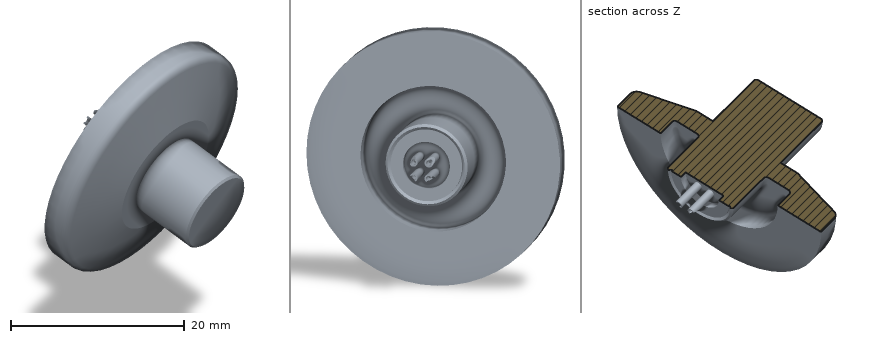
import cadquery as cq
import math


FLANGE_RADIUS = 15.0
FLANGE_RIM_WIDTH = 2.45
FLANGE_ROUND = 0.95
FLANGE_THICKNESS = 5.2
CONE_ANGLE = math.radians(15)

TUBE_RADIUS = 5.0
TUBE_END = 13.2
TUBE_CHAMFER = 0.25

NOSE_RADIUS = 4.85
NOSE_LENGTH = 3.75
NOSE_LIP_RADIUS = 4.56
NOSE_CHAMFER_LENGTH = 0.27

INSERT_RADIUS = 4.23
INSERT_SETBACK = 0.15

RECESS_RADIUS = 8.6
RECESS_DEPTH = 2.55
RECESS_FILLET = 0.4

POCKET_RADIUS = 2.78
POCKET_DEPTH = 0.85

PIN_RADIUS = 0.5
PIN_OFFSET = 0.91
PIN_PROTRUSION = 2.65
CUP_RADIUS = 0.31
CUP_DEPTH = 1.5
CUP_POINT_ANGLE = math.radians(118)
CUT_LENGTH = 1.45
CUT_TIP_OFFSET = 0.09

NOSE_FACE = -NOSE_LENGTH
BEVEL_FOOT = NOSE_FACE + NOSE_LIP_RADIUS - INSERT_RADIUS
PIN_TIP = NOSE_FACE - PIN_PROTRUSION
INSERT_FACE = NOSE_FACE + INSERT_SETBACK
POCKET_FLOOR = INSERT_FACE + POCKET_DEPTH


def x_cylinder(radius, start, end):
    """Solid cylinder along X between two stations."""
    return cq.Workplane("YZ", origin=(start, 0, 0)).circle(radius).extrude(end - start)


def make_flange():
    """Disc with a rounded rim and a conical front, revolved about X."""
    round_center_radius = FLANGE_RADIUS - FLANGE_ROUND

    def round_point(angle):
        return (
            FLANGE_RIM_WIDTH + FLANGE_ROUND * math.cos(angle),
            round_center_radius + FLANGE_ROUND * math.sin(angle),
        )

    cone_start = round_point(CONE_ANGLE)
    round_middle = round_point((CONE_ANGLE + math.pi / 2) / 2)
    cone_end_radius = cone_start[1] - (FLANGE_THICKNESS - cone_start[0]) / math.tan(CONE_ANGLE)
    return (
        cq.Workplane("XY")
        .moveTo(0, 0)
        .lineTo(0, FLANGE_RADIUS)
        .lineTo(FLANGE_RIM_WIDTH, FLANGE_RADIUS)
        .threePointArc(round_middle, cone_start)
        .lineTo(FLANGE_THICKNESS, cone_end_radius)
        .lineTo(FLANGE_THICKNESS, 0)
        .close()
        .revolve(360, (0, 0, 0), (1, 0, 0))
    )


def make_recess():
    """Ring to remove around the nose, rounded at both edges of its floor."""
    ring = x_cylinder(RECESS_RADIUS, 0, RECESS_DEPTH).cut(x_cylinder(NOSE_RADIUS, 0, RECESS_DEPTH))
    return ring.faces(">X").edges().fillet(RECESS_FILLET)


def make_tube():
    """Tube body, modelled solid, with a chamfered end."""
    tube = x_cylinder(TUBE_RADIUS, FLANGE_THICKNESS, TUBE_END)
    return tube.faces(">X").edges().chamfer(TUBE_CHAMFER)


def make_nose():
    """Nose with a sharp lip, bevelled inward to the side of the insert, which has a round pocket."""
    nose = (
        cq.Workplane("XY")
        .moveTo(0, 0)
        .lineTo(0, NOSE_RADIUS)
        .lineTo(NOSE_FACE + NOSE_CHAMFER_LENGTH, NOSE_RADIUS)
        .lineTo(NOSE_FACE, NOSE_LIP_RADIUS)
        .lineTo(BEVEL_FOOT, INSERT_RADIUS)
        .lineTo(INSERT_FACE, INSERT_RADIUS)
        .lineTo(INSERT_FACE, 0)
        .close()
        .revolve(360, (0, 0, 0), (1, 0, 0))
    )
    return nose.cut(x_cylinder(POCKET_RADIUS, INSERT_FACE, POCKET_FLOOR))


def make_cup():
    """Blind drilled hole with a conical bottom, to remove from a pin tip."""
    cup_bottom = PIN_TIP + CUP_DEPTH
    point_length = CUP_RADIUS / math.tan(CUP_POINT_ANGLE / 2)
    return (
        cq.Workplane("XY")
        .moveTo(PIN_TIP, 0)
        .lineTo(PIN_TIP, CUP_RADIUS)
        .lineTo(cup_bottom, CUP_RADIUS)
        .lineTo(cup_bottom + point_length, 0)
        .close()
        .revolve(360, (0, 0, 0), (1, 0, 0))
    )


def make_pin(y_side, z_side):
    """Pin with a blind solder cup, opened by a slanted cut on its outward side."""
    pin = x_cylinder(PIN_RADIUS, PIN_TIP, POCKET_FLOOR)
    pin = pin.cut(make_cup())
    cut = (
        cq.Workplane("XY")
        .moveTo(PIN_TIP, CUT_TIP_OFFSET)
        .lineTo(PIN_TIP + CUT_LENGTH, PIN_RADIUS)
        .lineTo(PIN_TIP, PIN_RADIUS)
        .close()
        .extrude(PIN_RADIUS, both=True)
    )
    outward_angle = math.degrees(math.atan2(z_side, y_side))
    pin = pin.cut(cut).rotate((0, 0, 0), (1, 0, 0), outward_angle)
    return pin.translate((0, y_side * PIN_OFFSET, z_side * PIN_OFFSET))


result = make_flange().cut(make_recess()).union(make_tube()).union(make_nose())
for y_side in (-1, 1):
    for z_side in (-1, 1):
        result = result.union(make_pin(y_side, z_side))